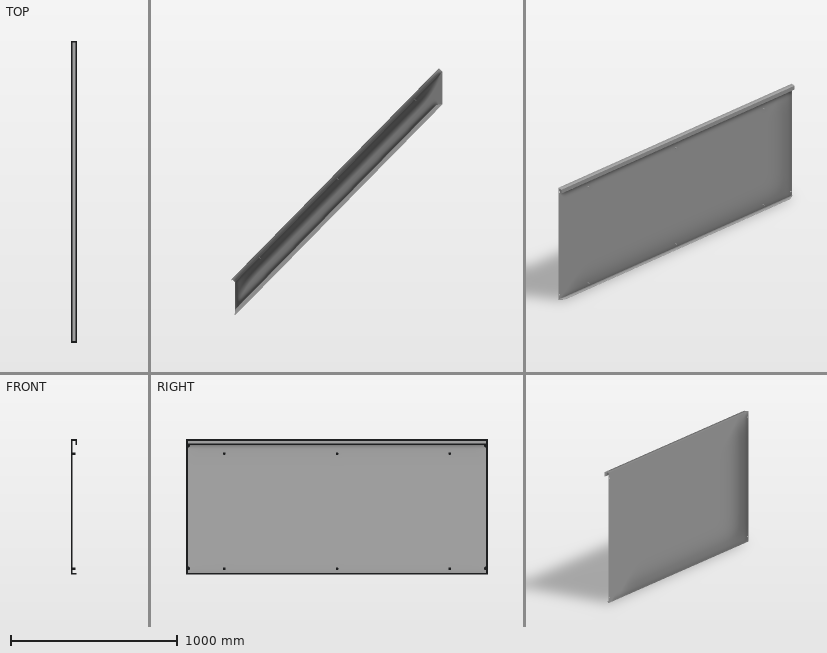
import cadquery as cq

length = 1800.0
height = 802.5
depth = 28.5
thickness = 1.5

lip_height = 27.5

bottom_flange_depth = 25.0
taper_start_depth = 5.0
taper_length = 30.0

hole_diameter = 9.0
hole_end_distance = 8.0
bottom_hole_height = 32.0
top_hole_drop = 34.0

stud_diameter = 6.0
stud_length = 16.0
stud_spacing = 675.0
bottom_stud_height = 30.0
top_stud_drop = 82.0


def make_folded_profile():
    """Face, top flange and lip as one constant profile along Y."""
    inner_lip_x = depth - thickness
    top_flange_underside = height - thickness
    lip_bottom = height - lip_height
    outline = [
        (0, 0),
        (0, height),
        (depth, height),
        (depth, lip_bottom),
        (inner_lip_x, lip_bottom),
        (inner_lip_x, top_flange_underside),
        (thickness, top_flange_underside),
        (thickness, 0),
    ]
    return cq.Workplane("XZ").polyline(outline).close().extrude(-length)


def make_bottom_flange():
    """Flat flange that narrows towards both ends of the panel."""
    outline = [
        (0, 0),
        (taper_start_depth, 0),
        (bottom_flange_depth, taper_length),
        (bottom_flange_depth, length - taper_length),
        (taper_start_depth, length),
        (0, length),
    ]
    return cq.Workplane("XY").polyline(outline).close().extrude(thickness)


def make_corner_holes():
    """Cutters for one hole near each corner of the face."""
    centres = [
        (y, z)
        for y in (hole_end_distance, length - hole_end_distance)
        for z in (bottom_hole_height, height - top_hole_drop)
    ]
    return cq.Workplane("YZ").pushPoints(centres).circle(hole_diameter / 2).extrude(thickness)


def make_studs():
    """Plain round studs standing on the inner face."""
    middle = length / 2
    centres = [
        (y, z)
        for y in (middle - stud_spacing, middle, middle + stud_spacing)
        for z in (bottom_stud_height, height - top_stud_drop)
    ]
    inner_face = cq.Workplane("YZ", origin=(thickness, 0, 0))
    return inner_face.pushPoints(centres).circle(stud_diameter / 2).extrude(stud_length)


panel = make_folded_profile().union(make_bottom_flange())
result = panel.cut(make_corner_holes()).union(make_studs())